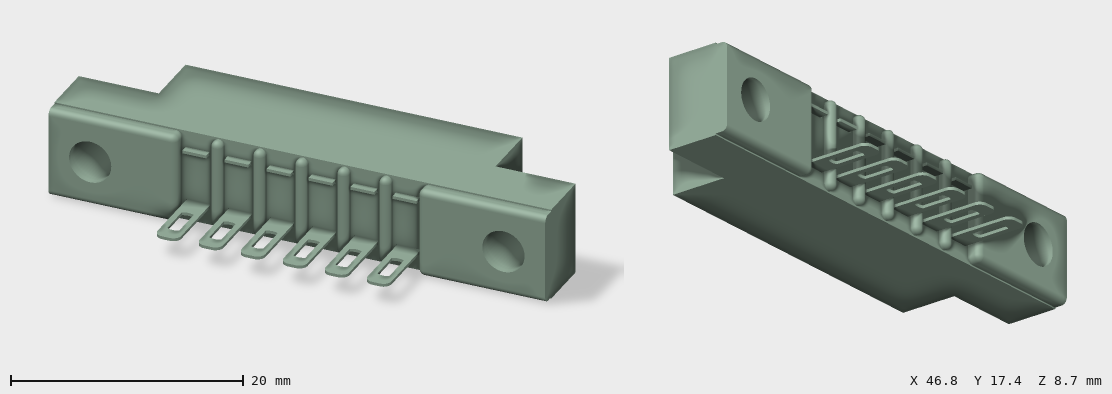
import cadquery as cq


length = 46.8
height = 8.7
back_y = 10.7
nose_length = 31.72
nose_depth = 5.6
half_length = length / 2
ear_back_y = back_y - nose_depth

pad_inner_x = 11.35
pad_depth = 1.25
pad_round = 0.55
end_inset = 0.15
raised_height = height - 2 * end_inset
mount_hole_diameter = 4.0
mount_hole_x = 19.45

contact_count = 6
contact_span = 19.8
pitch = contact_span / (contact_count - 1)
contact_xs = [i * pitch - contact_span / 2 for i in range(contact_count)]
rib_xs = [x + pitch / 2 for x in contact_xs[:-1]]
rib_radius = 0.5
rib_base_depth = 0.3

contact_width = 2.25
contact_thickness = 0.3
contact_outer_z = 2.75
pocket_height = 0.4
pocket_depth = 0.95
stub_reach = 0.7

terminal_reach = 6.7
tip_radius = 0.75
eyelet_width = 1.1
eyelet_start = 1.95
eyelet_length = 3.3
eyelet_bulge = 0.15


def block(x_range, y_range, z_range):
    """Box given by its limits along each axis."""
    (x0, x1), (y0, y1), (z0, z1) = x_range, y_range, z_range
    return cq.Workplane("XY").box(x1 - x0, y1 - y0, z1 - z0, centered=False).translate((x0, y0, z0))


def contact_block(x, y_range, z_range):
    """Box as wide as a contact, centred on x."""
    return block((x - contact_width / 2, x + contact_width / 2), y_range, z_range)


def make_shell():
    """T-shaped housing: a long bar with the nose behind it."""
    z_range = (-height / 2, height / 2)
    bar = block((-half_length, half_length), (0, ear_back_y), z_range)
    nose = block((-nose_length / 2, nose_length / 2), (0, back_y), z_range)
    return bar.union(nose)


def make_left_pad():
    """Pad on the -X ear, rounded everywhere but on its outer end."""
    pad = block(
        (-half_length, -pad_inner_x),
        (-pad_depth, 0),
        (-raised_height / 2, raised_height / 2),
    )
    return pad.edges("(<Y or >X) and (not <X) and (not >Y)").fillet(pad_round)


def make_rib(x):
    """Upright rib with a half-round crest and ball-shaped ends."""
    ball_z = raised_height / 2 - rib_radius
    base = (
        cq.Workplane("XZ", origin=(x, 0, 0))
        .slot2D(raised_height, 2 * rib_radius, angle=90)
        .extrude(rib_base_depth)
    )
    crest = (
        cq.Workplane("XY", origin=(x, -rib_base_depth, -ball_z))
        .circle(rib_radius)
        .extrude(2 * ball_z)
    )
    for z in (-ball_z, ball_z):
        ball = cq.Workplane("XY", origin=(x, -rib_base_depth, z)).sphere(rib_radius)
        crest = crest.union(ball)
    front_half = block(
        (x - 2 * rib_radius, x + 2 * rib_radius),
        (-rib_base_depth - 2 * rib_radius, -rib_base_depth),
        (-height, height),
    )
    return base.union(crest.intersect(front_half))


def cut_mount_holes(body):
    """Through holes in both ears, along Y."""
    holes = (
        cq.Workplane("XZ", origin=(0, ear_back_y, 0))
        .pushPoints([(-mount_hole_x, 0), (mount_hole_x, 0)])
        .circle(mount_hole_diameter / 2)
        .extrude(ear_back_y + pad_depth)
    )
    return body.cut(holes)


def add_contact_pockets(body):
    """Both rows of pockets, with a short moulded stub in each upper one."""
    pocket_inner_z = contact_outer_z - pocket_height
    stub_inner_z = contact_outer_z - contact_thickness
    for x in contact_xs:
        upper_pocket = contact_block(x, (0, pocket_depth), (pocket_inner_z, contact_outer_z))
        lower_pocket = upper_pocket.mirror("XY")
        stub = contact_block(x, (-stub_reach, pocket_depth), (stub_inner_z, contact_outer_z))
        body = body.cut(upper_pocket).cut(lower_pocket).union(stub)
    return body


def make_housing():
    left_pad = make_left_pad()
    body = make_shell().union(left_pad).union(left_pad.mirror("YZ"))
    for x in rib_xs:
        body = body.union(make_rib(x))
    return add_contact_pockets(cut_mount_holes(body))


def make_eyelet(x):
    """Cutter for a slot with straight sides and shallow arcs at its ends."""
    half_width = eyelet_width / 2
    near_y = -eyelet_start
    far_y = near_y - eyelet_length
    near_corner_y = near_y - eyelet_bulge
    far_corner_y = far_y + eyelet_bulge
    return (
        cq.Workplane("XY", origin=(x, 0, -contact_outer_z))
        .moveTo(-half_width, near_corner_y)
        .threePointArc((0, near_y), (half_width, near_corner_y))
        .lineTo(half_width, far_corner_y)
        .threePointArc((0, far_y), (-half_width, far_corner_y))
        .close()
        .extrude(contact_thickness)
    )


def make_terminal(x):
    """Flat solder tab with a rounded tip and an eyelet, seated on its pocket floor."""
    bottom_z = -contact_outer_z
    z_range = (bottom_z, bottom_z + contact_thickness)
    tab = contact_block(x, (-terminal_reach, pocket_depth), z_range)
    tab = tab.edges("|Z and <Y").fillet(tip_radius)
    return tab.cut(make_eyelet(x))


housing = make_housing()
terminals = [make_terminal(x) for x in contact_xs]

result = cq.Compound.makeCompound([housing.val(), *[terminal.val() for terminal in terminals]])